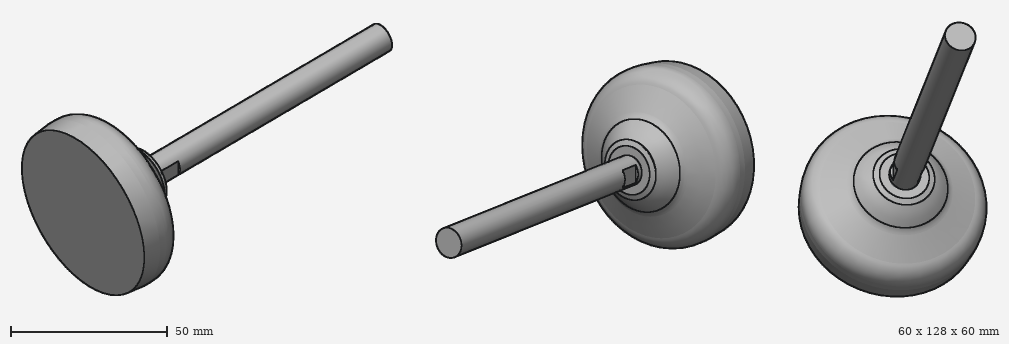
import cadquery as cq
import math

total_length = 128.0

rim_radius = 30.02
sole_radius = 29.3
rim_bottom = 6.1
rim_top = 8.8
shoulder_radius = 25.2
shoulder_top = 15.5
neck_radius = 17.2
neck_bottom = 19.7
seat_height = 21.2

dome_radius = 19.5
dome_center = 9.2
dome_top = 26.4
collar_bottom_radius = 9.2
collar_edge_radius = 10.0
collar_edge_height = 27.0
collar_top_radius = 8.0
collar_top = 27.8
rod_radius = 5.0

flat_bottom = 29.8
flat_top = 37.1
flat_half_width = 4.03


def dome_radius_at(height):
    """Distance from the axis to the dome surface at a height above the sole."""
    return math.sqrt(dome_radius ** 2 - (height - dome_center) ** 2)


seat_radius = dome_radius_at(seat_height)


def revolve_about_y(profile):
    """Close a half profile drawn in XY and turn it about the Y axis."""
    return profile.close().revolve(360, (0, 0, 0), (0, 1, 0))


def make_foot():
    profile = (
        cq.Workplane("XY")
        .lineTo(sole_radius, 0)
        .lineTo(rim_radius, rim_bottom)
        .lineTo(rim_radius, rim_top)
        .tangentArcPoint((shoulder_radius, shoulder_top), relative=False)
        .lineTo(neck_radius, neck_bottom)
        .tangentArcPoint((seat_radius, seat_height), relative=False)
        .lineTo(0, seat_height)
    )
    return revolve_about_y(profile)


def make_wrench_flat_cutter(side):
    """Block that removes the rod beyond the flat on one side (+1 or -1 along X)."""
    depth = rod_radius
    return cq.Workplane("XY").box(depth, flat_top - flat_bottom, 2 * rod_radius).translate(
        (side * (flat_half_width + depth / 2), (flat_bottom + flat_top) / 2, 0)
    )


def make_spindle():
    dome_middle = (seat_height + dome_top) / 2
    profile = (
        cq.Workplane("XY")
        .moveTo(0, seat_height)
        .lineTo(seat_radius, seat_height)
        .threePointArc((dome_radius_at(dome_middle), dome_middle), (dome_radius_at(dome_top), dome_top))
        .lineTo(collar_bottom_radius, dome_top)
        .lineTo(collar_edge_radius, collar_edge_height)
        .lineTo(collar_top_radius, collar_top)
        .lineTo(rod_radius, collar_top)
        .lineTo(rod_radius, total_length)
        .lineTo(0, total_length)
    )
    spindle = revolve_about_y(profile)
    for side in (-1, 1):
        spindle = spindle.cut(make_wrench_flat_cutter(side))
    return spindle


foot = make_foot()
spindle = make_spindle()
result = cq.Compound.makeCompound([foot.val(), spindle.val()])